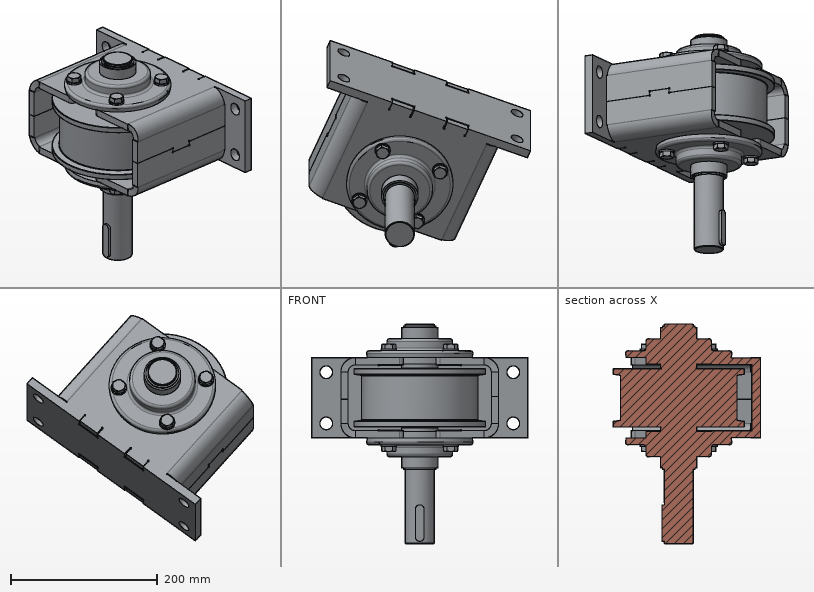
import cadquery as cq
import math


plate_width = 296.0
plate_height = 110.0
plate_thickness = 12.0
plate_front = 100.0
plate_hole_diameter = 17.0
plate_hole_x = 128.0
plate_hole_z = 35.0

sheet = 10.0
housing_half_width = 108.0
housing_half_height = plate_height / 2
housing_front = -65.0
bend_outer_radius = 20.0
bend_inner_radius = bend_outer_radius - sheet
bend_end_setback = 0.8
bend_middle_setback = 2.0
shaft_slot_half_width = 22.5
shaft_slot_corner_radius = 5.5

tab_width = 30.5
tab_offset_x = 40.5
tab_tip_recess = 1.0
tab_outer_clearance = 0.5
tab_inner_clearance = 1.5
tab_seat_clearance = 0.3
relief_radius = 1.0
seam_gap = 0.2
seam_offset_z = 2.0
seam_tab_top_z = 4.0
seam_center_y = (housing_front + plate_front) / 2

wheel_radius = 90.0
wheel_half_width = 40.0
tread_radius = 80.0
rim_thickness = 8.0
rim_face_taper = 1.2
rim_root_chamfer = 0.8
rim_edge_chamfer = 0.6

shaft_radius = 20.0
shaft_top = 101.1
shaft_bottom = -200.0
shaft_chamfer = 1.0
journal_radius = 22.5
journal_half_length = 98.0
collar_radius = 25.0
collar_end = 96.0
spacer_chamfer = 1.0
key_width = 12.0
key_length = 50.0
key_bottom = -196.5
key_outer_y = 23.0
key_depth = 8.0

bearing_radius = 73.0
bearing_base_radius = 72.0
bearing_flange_thickness = 9.5
bearing_flange_fillet = 4.0
hub_radius = 45.0
spigot_radius = hub_radius
spigot_length = 9.0
hub_height = 26.0
hub_top_fillet = 4.0
hub_base_fillet = 3.5

bolt_circle_radius = 60.0
bolt_count = 4
washer_diameter = 21.0
washer_thickness = 2.3
hex_across_flats = 17.0
hex_height = 6.8
hex_chamfer_height = 1.2


def box(x_range, y_range, z_range):
    """Axis-aligned block given by its limits along X, Y and Z."""
    (x0, x1), (y0, y1), (z0, z1) = x_range, y_range, z_range
    return cq.Workplane("XY").box(x1 - x0, y1 - y0, z1 - z0, centered=False).translate((x0, y0, z0))


def cylinder(radius, z0, z1):
    """Cylinder about the wheel axis."""
    return cq.Workplane("XY").workplane(offset=z0).circle(radius).extrude(z1 - z0)


def mirrored_pair(solid):
    """The solid together with its mirror image about the wheel's middle plane."""
    return [solid, solid.mirror("XY")]


def tube_outline(half_width, half_height, radius):
    """Rounded rectangle running the whole housing depth."""
    depth = plate_front - housing_front
    block = cq.Workplane("XZ", origin=(0, plate_front, 0)).rect(2 * half_width, 2 * half_height)
    return block.extrude(depth).edges("|Y").fillet(radius)


def seam_cutter():
    """Gap of the interlocking butt joint through the -X wall."""
    half_tab = tab_width / 2
    half_gap = seam_gap / 2
    tab_y = (seam_center_y - half_tab, seam_center_y + half_tab)
    wall_x = (-housing_half_width, -housing_half_width + sheet)
    low_z = -seam_offset_z
    low = (low_z - half_gap, low_z + half_gap)
    high = (seam_tab_top_z - half_gap, seam_tab_top_z + half_gap)
    cutter = box(wall_x, tab_y, high)
    cutter = cutter.union(box(wall_x, (housing_front, tab_y[0]), low))
    cutter = cutter.union(box(wall_x, (tab_y[1], plate_front), low))
    corners = [(y, z) for y in tab_y for z in (low_z, seam_tab_top_z)]
    for y in tab_y:
        cutter = cutter.union(box(wall_x, (y - half_gap, y + half_gap), (low[0], high[1])))
    reliefs = cq.Workplane("YZ", origin=(wall_x[0], 0, 0)).pushPoints(corners).circle(relief_radius)
    return cutter.union(reliefs.extrude(sheet))


def bend_notch():
    """Scooped notch at the front end of the +X, +Z bend, deepest halfway round the bend."""
    center_x = housing_half_width - bend_outer_radius
    center_z = housing_half_height - bend_outer_radius
    half_chord = bend_outer_radius * math.sqrt(0.5)
    sag = bend_middle_setback - bend_end_setback
    scoop_radius = (half_chord**2 + sag**2) / (2 * sag)
    scoop = (
        cq.Workplane("YZ")
        .center(bend_middle_setback - scoop_radius, 0)
        .circle(scoop_radius)
        .extrude(2 * bend_outer_radius)
        .rotate((0, 0, 0), (0, 1, 0), -45)
    )
    quadrant = box((0, bend_outer_radius), (0, bend_middle_setback), (0, bend_outer_radius))
    return quadrant.intersect(scoop).translate((center_x, housing_front, center_z))


def make_housing():
    """Sheet tube with set-back bends, shaft slots, plate tabs and side seams."""
    housing = tube_outline(housing_half_width, housing_half_height, bend_outer_radius)
    housing = housing.cut(
        tube_outline(housing_half_width - sheet, housing_half_height - sheet, bend_inner_radius)
    )

    front_notch = bend_notch()
    back_notch = front_notch.mirror("XZ").translate((0, housing_front + plate_front, 0))
    for notch in (front_notch, back_notch):
        for cutter in mirrored_pair(notch) + mirrored_pair(notch.mirror("YZ")):
            housing = housing.cut(cutter)

    wall_z = (housing_half_height - sheet, housing_half_height)
    slot_x = (-shaft_slot_half_width, shaft_slot_half_width)
    corner = shaft_slot_corner_radius
    for bore in mirrored_pair(cylinder(spigot_radius, *wall_z)):
        housing = housing.cut(bore)
    for slot in mirrored_pair(box(slot_x, (housing_front, 0), wall_z)):
        housing = housing.cut(slot)
    for side in (-1, 1):
        edge_x = side * shaft_slot_half_width
        corner_x = sorted((edge_x, edge_x + side * corner))
        rounding = box(corner_x, (housing_front, housing_front + corner), wall_z)
        rounding = rounding.cut(
            cylinder(corner, *wall_z).translate((edge_x + side * corner, housing_front + corner, 0))
        )
        for cutter in mirrored_pair(rounding):
            housing = housing.cut(cutter)

    tab_tip = plate_front + plate_thickness - tab_tip_recess
    for center_x in (-tab_offset_x, tab_offset_x):
        edges_x = (center_x - tab_width / 2, center_x + tab_width / 2)
        for tab in mirrored_pair(box(edges_x, (plate_front, tab_tip), wall_z)):
            housing = housing.union(tab)
        for edge_x in edges_x:
            relief = cylinder(relief_radius, *wall_z).translate((edge_x, plate_front, 0))
            for cutter in mirrored_pair(relief):
                housing = housing.cut(cutter)

    seam = seam_cutter()
    return housing.cut(seam).cut(seam.rotate((0, 0, 0), (0, 1, 0), 180))


def make_plate():
    """Mounting plate with four bolt holes and notches for the housing tabs."""
    back = plate_front + plate_thickness
    plate = box(
        (-plate_width / 2, plate_width / 2),
        (plate_front, back),
        (-plate_height / 2, plate_height / 2),
    )
    hole_points = [(x, z) for x in (-plate_hole_x, plate_hole_x) for z in (-plate_hole_z, plate_hole_z)]
    face = cq.Workplane("XZ", origin=(0, back, 0))
    plate = plate.cut(face.pushPoints(hole_points).circle(plate_hole_diameter / 2).extrude(plate_thickness))

    seat_z = housing_half_height - sheet - tab_seat_clearance
    inner_x = tab_offset_x - tab_width / 2 - tab_inner_clearance
    outer_x = tab_offset_x + tab_width / 2 + tab_outer_clearance
    for notch_x in ((-outer_x, -inner_x), (inner_x, outer_x)):
        notch = box(notch_x, (plate_front, back), (seat_z, plate_height / 2))
        corners = face.pushPoints([(x, seat_z) for x in notch_x]).circle(relief_radius)
        for cutter in mirrored_pair(notch.union(corners.extrude(plate_thickness))):
            plate = plate.cut(cutter)
    return plate


def make_wheel():
    """Double-flanged wheel turned about Z, the inner rim faces slightly tapered."""
    rim_inner_z = wheel_half_width - rim_thickness
    root_z = rim_inner_z - rim_face_taper
    tread_end_z = root_z - rim_root_chamfer
    rim_outer_z = wheel_half_width - rim_edge_chamfer
    rim_inner_edge_z = rim_inner_z + rim_edge_chamfer
    rim_face_radius = wheel_radius - rim_edge_chamfer
    root_radius = tread_radius + rim_root_chamfer
    profile = (
        cq.Workplane("XZ")
        .moveTo(0, -wheel_half_width)
        .lineTo(rim_face_radius, -wheel_half_width)
        .lineTo(wheel_radius, -rim_outer_z)
        .lineTo(wheel_radius, -rim_inner_edge_z)
        .lineTo(rim_face_radius, -rim_inner_z)
        .lineTo(root_radius, -root_z)
        .lineTo(tread_radius, -tread_end_z)
        .lineTo(tread_radius, tread_end_z)
        .lineTo(root_radius, root_z)
        .lineTo(rim_face_radius, rim_inner_z)
        .lineTo(wheel_radius, rim_inner_edge_z)
        .lineTo(wheel_radius, rim_outer_z)
        .lineTo(rim_face_radius, wheel_half_width)
        .lineTo(0, wheel_half_width)
        .close()
    )
    return profile.revolve(360, (0, 0, 0), (0, 1, 0))


def make_shaft():
    """Stepped shaft with its key on the -Y side of the lower end."""
    shaft = cylinder(shaft_radius, shaft_bottom, shaft_top).faces("<Z or >Z").chamfer(shaft_chamfer)
    shaft = shaft.union(cylinder(journal_radius, -journal_half_length, journal_half_length))
    hub_end = housing_half_height + hub_height
    spacer_end = housing_half_height - spigot_length
    spacer = cylinder(collar_radius, wheel_half_width, spacer_end).faces("<Z").chamfer(spacer_chamfer)
    for collar in mirrored_pair(cylinder(collar_radius, hub_end, collar_end)):
        shaft = shaft.union(collar)
    for spacer_copy in mirrored_pair(spacer):
        shaft = shaft.union(spacer_copy)
    key_center_z = key_bottom + key_length / 2
    key = cq.Workplane("XZ", origin=(0, key_depth - key_outer_y, key_center_z))
    return shaft.union(key.slot2D(key_length, key_width, 90).extrude(key_depth))


def make_bolt(base_z):
    """Washer and hexagon head standing on base_z, corners along X."""
    head_z = base_z + washer_thickness
    corner_radius = hex_across_flats / math.sqrt(3)
    washer = cylinder(washer_diameter / 2, base_z, head_z)
    head = cq.Workplane("XY").workplane(offset=head_z).polygon(6, 2 * corner_radius).extrude(hex_height)
    envelope = (
        cylinder(corner_radius, head_z, head_z + hex_height)
        .faces(">Z")
        .chamfer(hex_chamfer_height, corner_radius - hex_across_flats / 2)
    )
    return washer.union(head.intersect(envelope))


def make_bearing():
    """Upper flanged bearing with its bolts."""
    base_z = housing_half_height
    spigot_z = base_z - spigot_length
    flange_z = base_z + bearing_flange_thickness
    top_z = base_z + hub_height
    diagonal = math.sqrt(0.5)
    rim_center = (bearing_radius - bearing_flange_fillet, flange_z - bearing_flange_fillet)
    root_center = (hub_radius + hub_base_fillet, flange_z + hub_base_fillet)
    hub_center = (hub_radius - hub_top_fillet, top_z - hub_top_fillet)

    def arc_middle(center, radius, direction):
        return tuple(c + direction * radius * diagonal for c in center)

    profile = (
        cq.Workplane("XZ")
        .moveTo(0, spigot_z)
        .lineTo(spigot_radius, spigot_z)
        .lineTo(spigot_radius, base_z)
        .lineTo(bearing_base_radius, base_z)
        .lineTo(bearing_radius, rim_center[1])
        .threePointArc(arc_middle(rim_center, bearing_flange_fillet, 1), (rim_center[0], flange_z))
        .lineTo(root_center[0], flange_z)
        .threePointArc(arc_middle(root_center, hub_base_fillet, -1), (hub_radius, root_center[1]))
        .lineTo(hub_radius, hub_center[1])
        .threePointArc(arc_middle(hub_center, hub_top_fillet, 1), (hub_center[0], top_z))
        .lineTo(0, top_z)
        .close()
    )
    bearing = profile.revolve(360, (0, 0, 0), (0, 1, 0))
    for index in range(bolt_count):
        angle = math.radians(45 + index * 360 / bolt_count)
        center = (bolt_circle_radius * math.cos(angle), bolt_circle_radius * math.sin(angle), 0)
        bearing = bearing.union(make_bolt(flange_z).translate(center))
    return bearing


result = make_housing().union(make_plate()).union(make_wheel()).union(make_shaft())
for bearing in mirrored_pair(make_bearing()):
    result = result.union(bearing)